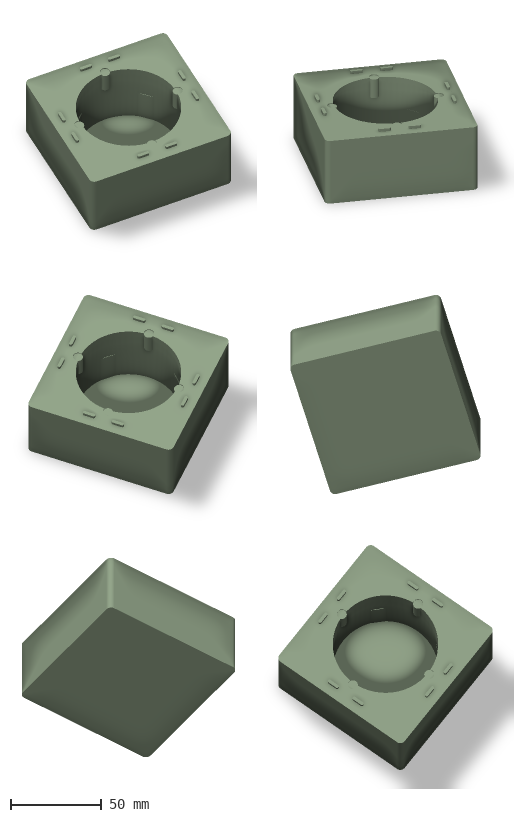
import cadquery as cq

side = 85.9
total_height = 40.0
peg_height = 1.6
body_height = total_height - peg_height
corner_radius = 3.0

bore_diameter = 58.0
bore_radius = bore_diameter / 2
floor_thickness = 1.5

pad_width = 8.9
pad_top_depth = 18.6
pad_embed = 0.9

post_diameter = 5.5
post_offset = 30.0
post_length = 11.4
post_recess = 0.5

peg_length = 7.1
peg_width = 1.9
peg_offset = 36.6
peg_spacing = 17.0

pad_turn = 45
quarter_turns = (0, 90, 180, 270)


def turned(solid, angle):
    """Turn a solid about the vertical axis of the box."""
    return solid.rotate((0, 0, 0), (0, 0, 1), angle)


def make_body():
    """Rounded square block with a blind round cavity open at the top."""
    block = cq.Workplane("XY").rect(side, side).extrude(body_height)
    block = block.edges("|Z").fillet(corner_radius)
    cavity = (
        cq.Workplane("XY", origin=(0, 0, floor_thickness))
        .circle(bore_radius)
        .extrude(body_height - floor_thickness)
    )
    return block.cut(cavity)


def make_pad():
    """Pad whose flat face is a chord of the cavity circle."""
    chord_distance = (bore_radius**2 - (pad_width / 2) ** 2) ** 0.5
    pad_depth = bore_radius + pad_embed - chord_distance
    return (
        cq.Workplane("XY")
        .center(chord_distance + pad_depth / 2, 0)
        .rect(pad_depth, pad_width)
        .extrude(body_height - pad_top_depth)
    )


def make_post_seat():
    """Shallow round recess above a post."""
    return (
        cq.Workplane("XY", origin=(post_offset, 0, body_height - post_recess))
        .circle(post_diameter / 2)
        .extrude(post_recess)
    )


def make_post():
    """Short round post hanging below its recess."""
    return (
        cq.Workplane("XY", origin=(post_offset, 0, body_height - post_recess))
        .circle(post_diameter / 2)
        .extrude(-post_length)
    )


def make_peg_pair():
    """Two round-ended pegs in line along one side of the rim."""
    return (
        cq.Workplane("XY", origin=(peg_offset, 0, body_height))
        .pushPoints([(0, -peg_spacing / 2), (0, peg_spacing / 2)])
        .slot2D(peg_length, peg_width, 90)
        .extrude(peg_height)
    )


result = make_body()
for angle in quarter_turns:
    result = result.union(turned(make_pad(), angle + pad_turn))
    result = result.cut(turned(make_post_seat(), angle))
    result = result.union(turned(make_post(), angle))
    result = result.union(turned(make_peg_pair(), angle))